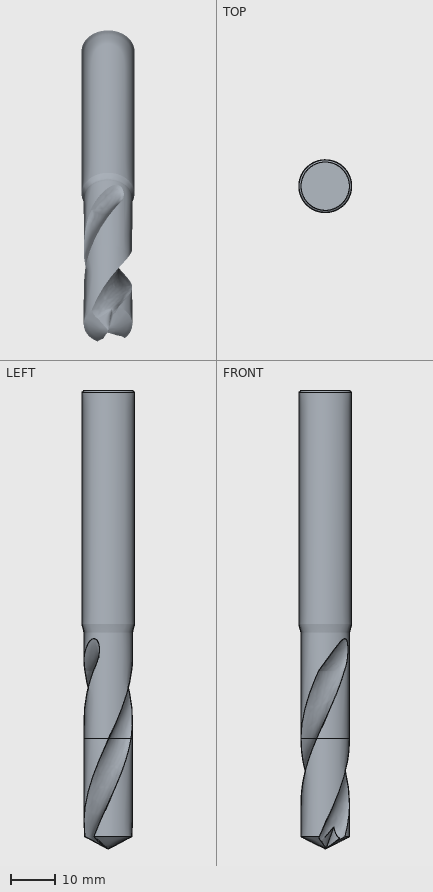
import cadquery as cq
import math

total_length = 104.0
point_height = 2.8
joint_z = 25.1
flute_end_z = 40.4
runout_top_z = 48.7
neck_top_z = 49.1
taper_top_z = 51.0

shank_radius = 6.0
drill_radius = 5.5
top_chamfer = 0.5

flute_count = 2
flute_radius = 3.3
web_radius = 2.5
flute_pitch = 75.9
flute_start_angle = 276.6
flute_offset = web_radius + flute_radius

runout_sideways_slope = 0.71
runout_outward_slope = 0.18

gash_tip = (0.16, -0.26, 0.0)
gash_corners = [
    (-0.9, -3.4, 1.9),
    (2.0, -1.9, 5.1),
    (3.2, -2.5, 2.4),
    (1.0, -3.5, 0.3),
]


def polar(radius, angle, z):
    return cq.Vector(radius * math.cos(math.radians(angle)), radius * math.sin(math.radians(angle)), z)


def copies_around_axis(shape):
    """One copy of the cutter for each flute."""
    return [shape.rotate((0, 0, 0), (0, 0, 1), i * 360 / flute_count) for i in range(flute_count)]


def flute_helix():
    """Circular section twisted about the drill axis."""
    center = polar(flute_offset, flute_start_angle, 0)
    twist = 360 * flute_end_z / flute_pitch
    return cq.Workplane().moveTo(center.x, center.y).circle(flute_radius).twistExtrude(
        flute_end_z, twist).val()


def flute_runout():
    """Oblique cylinder that carries the flute straight out through the neck surface."""
    end_angle = flute_start_angle + 360 * flute_end_z / flute_pitch
    height = runout_top_z - flute_end_z
    start = polar(flute_offset, end_angle, flute_end_z)
    outward = polar(1, end_angle, 0)
    sideways = polar(1, end_angle + 90, 0)
    travel = outward * (runout_outward_slope * height) + sideways * (runout_sideways_slope * height)
    circle = cq.Wire.makeCircle(flute_radius, start, cq.Vector(0, 0, 1))
    return cq.Solid.extrudeLinear(circle, [], travel + cq.Vector(0, 0, height))


def gash():
    """Pyramid cutter with triangular sides; its base is split into two triangles."""
    a, b, c, d = gash_corners
    triangles = [(gash_tip, a, b), (gash_tip, b, c), (gash_tip, c, d), (gash_tip, d, a), (a, c, b), (a, d, c)]
    faces = [
        cq.Face.makeFromWires(cq.Wire.makePolygon([cq.Vector(*p) for p in triangle], close=True))
        for triangle in triangles
    ]
    return cq.Solid.makeSolid(cq.Shell.makeShell(faces)).fix()


def cutting_head():
    """Fluted head with a conical point and a gash in each flute."""
    profile = [(0, 0), (drill_radius, point_height), (drill_radius, joint_z), (0, joint_z)]
    head = cq.Workplane("XZ").polyline(profile).close().revolve(360, (0, 0), (0, 1)).val()
    return head.cut(*copies_around_axis(flute_helix())).cut(*copies_around_axis(gash()))


def shank():
    """Chamfered cylindrical shank whose narrower neck continues the flutes."""
    profile = [
        (0, joint_z),
        (drill_radius, joint_z),
        (drill_radius, neck_top_z),
        (shank_radius, taper_top_z),
        (shank_radius, total_length - top_chamfer),
        (shank_radius - top_chamfer, total_length),
        (0, total_length),
    ]
    body = cq.Workplane("XZ").polyline(profile).close().revolve(360, (0, 0), (0, 1)).val()
    return body.cut(*copies_around_axis(flute_helix())).cut(*copies_around_axis(flute_runout()))


result = cq.Compound.makeCompound([*cutting_head().Solids(), *shank().Solids()])